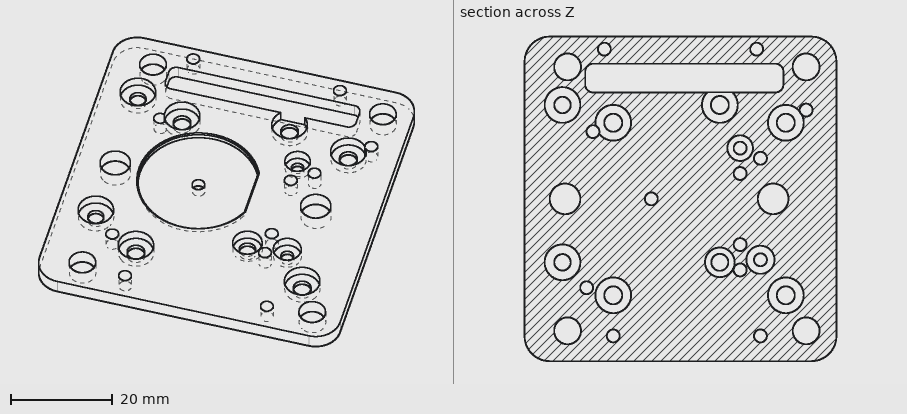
import cadquery as cq
import math

PLATE_LENGTH = 61.5
PLATE_WIDTH = 64.0
PLATE_THICKNESS = 3.18
CORNER_RADIUS = 5.0

CORNER_HOLE_DIAMETER = 5.25
CORNER_HOLE_CENTER_X = 1.25
CORNER_HOLE_PITCH_X = 47.0
CORNER_HOLE_PITCH_Y = 52.0

LARGE_HOLE_DIAMETER = 6.0
LARGE_HOLES = [(-22.75, 0.0), (18.25, 0.0)]

SMALL_HOLE_DIAMETER = 2.5
RECESS_CENTER = (-5.75, 0.0)
SMALL_HOLES = [
    RECESS_CENTER,
    (-15.0, 29.5),
    (15.0, 29.5),
    (-13.25, -27.0),
    (15.75, -27.0),
    (24.75, 17.5),
    (-17.25, 13.25),
    (-18.5, -17.5),
    (15.75, 8.0),
    (11.75, 5.0),
    (11.75, -9.0),
    (11.75, -14.0),
]

COUNTERBORE_FLOOR = 1.0
COUNTERBORE_DEPTH = PLATE_THICKNESS - COUNTERBORE_FLOOR
LARGE_COUNTERBORE_DIAMETER = 7.0

SQUARE_SCREW_DIAMETER = 3.5
SQUARE_SCREW_CENTER = (3.75, -2.0)
SQUARE_SCREW_PITCH = 34.0

OTHER_SCREWS = [
    ((-23.25, 18.5), 3.2, LARGE_COUNTERBORE_DIAMETER),
    ((-23.25, -12.5), 3.2, LARGE_COUNTERBORE_DIAMETER),
    ((7.75, 18.5), 3.5, LARGE_COUNTERBORE_DIAMETER),
    ((7.75, -12.5), 3.3, 5.8),
    ((11.75, 10.0), 2.5, 5.0),
    ((15.75, -12.0), 2.5, 5.5),
]

SLOT_LENGTH = 39.0
SLOT_WIDTH = 5.6
SLOT_CENTER = (0.75, 23.8)
SLOT_CORNER_RADIUS = 1.5
SLOT_FLOOR = 0.2
SLOT_DEPTH = PLATE_THICKNESS - SLOT_FLOOR

RECESS_RADIUS = 11.9
RECESS_FLAT_OFFSET = 10.8
RECESS_FLOOR = 2.0
RECESS_DEPTH = PLATE_THICKNESS - RECESS_FLOOR
RECESS_CHAMFER = 0.25
CHAMFER_ANGLE = 45


def rectangle_corners(center, pitch_x, pitch_y):
    """Four corner points of a rectangle around a center."""
    x, y = center
    return [(x + sx * pitch_x / 2, y + sy * pitch_y / 2) for sx in (-1, 1) for sy in (-1, 1)]


def top_plane():
    """Workplane on the plate's top face, centered on the plate."""
    return cq.Workplane("XY").workplane(offset=PLATE_THICKNESS)


def make_plate():
    """Plain plate with rounded vertical corners, standing on Z = 0."""
    plate = cq.Workplane("XY").box(
        PLATE_LENGTH, PLATE_WIDTH, PLATE_THICKNESS, centered=(True, True, False)
    )
    return plate.edges("|Z").fillet(CORNER_RADIUS)


def round_cut(centers, diameter, depth=PLATE_THICKNESS):
    """Cylinders reaching down from the top face, through the plate by default."""
    return top_plane().pushPoints(centers).circle(diameter / 2).extrude(-depth)


def cut_screw_holes(body, centers, hole_diameter, counterbore_diameter):
    """Through holes with a flat counterbore in the top face."""
    body = body.cut(round_cut(centers, hole_diameter))
    return body.cut(round_cut(centers, counterbore_diameter, COUNTERBORE_DEPTH))


def slot_pocket():
    """Long blind pocket with rounded corners."""
    block = top_plane().center(*SLOT_CENTER).rect(SLOT_LENGTH, SLOT_WIDTH).extrude(-SLOT_DEPTH)
    return block.edges("|Z").fillet(SLOT_CORNER_RADIUS)


def d_outline(margin=0.0):
    """Circle with one flat side toward +X on the top face, grown all round by the margin."""
    radius = RECESS_RADIUS + margin
    flat_x = RECESS_FLAT_OFFSET + margin
    flat_half = math.sqrt(radius**2 - flat_x**2)
    return (
        top_plane()
        .center(*RECESS_CENTER)
        .moveTo(flat_x, -flat_half)
        .lineTo(flat_x, flat_half)
        .threePointArc((-radius, 0), (flat_x, -flat_half))
        .close()
    )


def d_recess():
    """Upright D-shaped pocket whose rim opens out along a chamfer to the top face."""
    pocket = d_outline().extrude(-RECESS_DEPTH)
    chamfer = d_outline(RECESS_CHAMFER).extrude(-RECESS_CHAMFER, taper=CHAMFER_ANGLE)
    return pocket.union(chamfer)


plate = make_plate().cut(d_recess())

corner_holes = rectangle_corners((CORNER_HOLE_CENTER_X, 0), CORNER_HOLE_PITCH_X, CORNER_HOLE_PITCH_Y)
plate = plate.cut(round_cut(corner_holes, CORNER_HOLE_DIAMETER))
plate = plate.cut(round_cut(LARGE_HOLES, LARGE_HOLE_DIAMETER))
plate = plate.cut(round_cut(SMALL_HOLES, SMALL_HOLE_DIAMETER))

square_screws = rectangle_corners(SQUARE_SCREW_CENTER, SQUARE_SCREW_PITCH, SQUARE_SCREW_PITCH)
plate = cut_screw_holes(plate, square_screws, SQUARE_SCREW_DIAMETER, LARGE_COUNTERBORE_DIAMETER)
for center, hole_diameter, counterbore_diameter in OTHER_SCREWS:
    plate = cut_screw_holes(plate, [center], hole_diameter, counterbore_diameter)

plate = plate.cut(slot_pocket())

result = plate